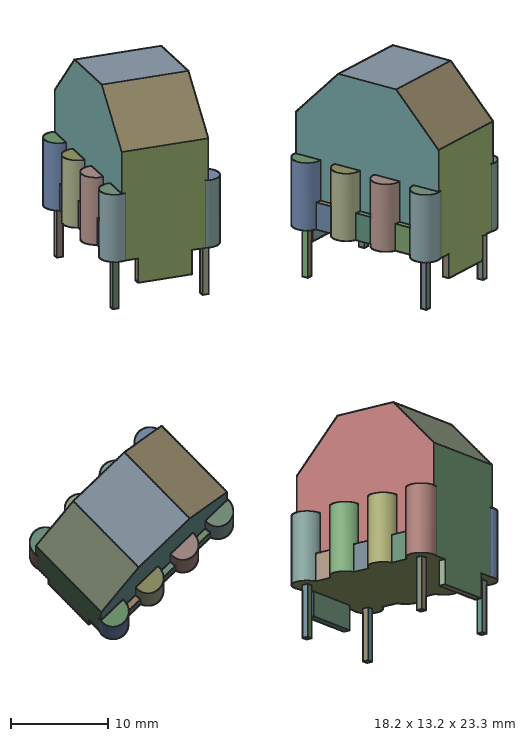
import cadquery as cq

overall_width = 18.2
overall_depth = 13.2
overall_height = 23.3
pin_length = 5.7

block_width = 18.0
block_depth = 9.65
block_height = overall_height - pin_length
roof_width = 7.32
slope_height = 5.45

columns_per_row = 4
column_radius = 1.6
column_height = 7.5
column_pitch = (overall_width - 2 * column_radius) / (columns_per_row - 1)
row_offset = overall_depth / 2 - column_radius
outer_column_x = overall_width / 2 - column_radius

bar_width = 2 * outer_column_x
bar_depth = 11.0
bar_height = 3.0

foot_thickness = 0.8
foot_depth = 5.99
foot_height = 2.7

pin_side = 0.7


def make_block():
    """Block whose two upper edges are cut by sloped roof faces."""
    half_width = block_width / 2
    half_roof = roof_width / 2
    shoulder_height = block_height - slope_height
    outline = [
        (-half_width, 0),
        (half_width, 0),
        (half_width, shoulder_height),
        (half_roof, block_height),
        (-half_roof, block_height),
        (-half_width, shoulder_height),
    ]
    return cq.Workplane("XZ").polyline(outline).close().extrude(block_depth / 2, both=True)


def make_columns():
    """Two rows of round columns, partly sunk into the long sides of the block."""
    return (
        cq.Workplane("XY")
        .rarray(column_pitch, 2 * row_offset, columns_per_row, 2)
        .circle(column_radius)
        .extrude(column_height)
    )


def make_link_bar():
    """Low bar that fills the gaps between neighbouring columns."""
    return cq.Workplane("XY").rect(bar_width, bar_depth).extrude(bar_height)


def make_feet():
    """Thin feet, flush with the end faces of the block."""
    foot_spacing = block_width - foot_thickness
    return (
        cq.Workplane("XY")
        .rarray(foot_spacing, 0.23, 2, 1)
        .rect(foot_thickness, foot_depth)
        .extrude(-foot_height)
    )


def make_housing():
    """Complete housing as one solid."""
    return make_block().union(make_columns()).union(make_link_bar()).union(make_feet())


def make_pin(x, y):
    """Square pin that hangs from the underside of the housing."""
    return cq.Workplane("XY").center(x, y).rect(pin_side, pin_side).extrude(-pin_length)


housing = make_housing()

pins = []
for x in (-outer_column_x, outer_column_x):
    for y in (-row_offset, row_offset):
        pins.append(make_pin(x, y).val())

result = cq.Compound.makeCompound([housing.val(), *pins])